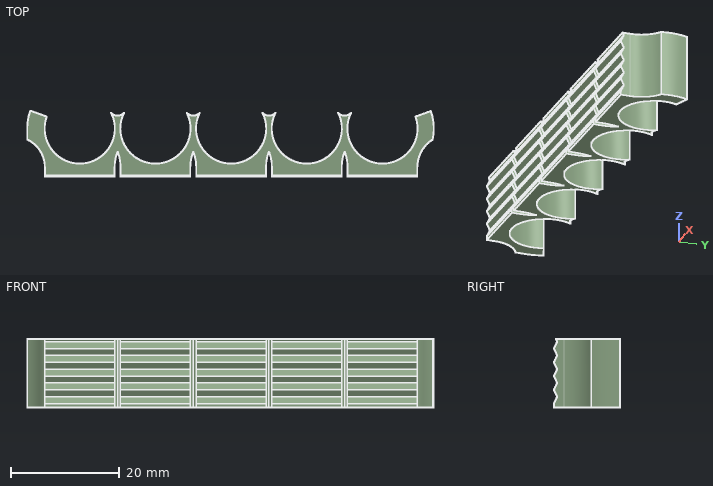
import cadquery as cq
import math

length = 75.05
height = 12.7

clamp_count = 5
pitch = 13.95
bore_radius = 6.45
bore_y = 8.9
row_offset = 0.11

jaw_angle = 20

flank_y = 1.8
scoop_top_y = 6.9
slot_top_y = 4.65

tip_angle = 27
tip_sag = 0.5

tooth_count = 5
tooth_pitch = height / tooth_count
tooth_depth = 0.6
first_crest_z = 0.75

row_half = pitch * (clamp_count - 1) / 2
bore_positions = [row_offset - row_half + i * pitch for i in range(clamp_count)]
first_bore_x = bore_positions[0]
last_bore_x = bore_positions[-1]
half_wall = pitch / 2 - bore_radius


def polar(center_x, radius, degrees):
    """Point on a circle around a bore axis."""
    angle = math.radians(degrees)
    return (center_x + radius * math.cos(angle), bore_y + radius * math.sin(angle))


def tangent_arc_middle(start, end):
    """Middle of the arc that leaves start along Y and ends at end."""
    run = end[0] - start[0]
    rise = end[1] - start[1]
    radius = (run**2 + rise**2) / (2 * abs(run))
    side = math.copysign(1, run)
    half_sweep = math.asin(rise / radius) / 2
    return (
        start[0] + side * radius * (1 - math.cos(half_sweep)),
        start[1] + radius * math.sin(half_sweep),
    )


def start_left_end():
    """Outline from the front left corner up to the inner edge of the left jaw."""
    jaw_radius = length / 2 + first_bore_x
    flank_start = (first_bore_x - bore_radius, flank_y)
    scoop_end = (-length / 2, scoop_top_y)
    return (
        cq.Workplane("XY")
        .moveTo(flank_start[0], 0)
        .lineTo(*flank_start)
        .threePointArc(tangent_arc_middle(flank_start, scoop_end), scoop_end)
        .lineTo(-length / 2, bore_y)
        .threePointArc(
            polar(first_bore_x, jaw_radius, 180 - jaw_angle / 2),
            polar(first_bore_x, jaw_radius, 180 - jaw_angle),
        )
        .lineTo(*polar(first_bore_x, bore_radius, 180 - jaw_angle))
    )


def add_bore_and_wall_tip(outline, bore_x):
    """One bore and the concave wall top to its right, with a sharp tip on each side."""
    left_tip = polar(bore_x, bore_radius, tip_angle)
    right_tip = polar(bore_x + pitch, bore_radius, 180 - tip_angle)
    tip_middle = (bore_x + pitch / 2, left_tip[1] - tip_sag)
    return (
        outline.threePointArc((bore_x, bore_y - bore_radius), left_tip)
        .threePointArc(tip_middle, right_tip)
    )


def add_right_end(outline):
    """Last bore, right jaw rounded down to its scoop, and the flank to the front."""
    jaw_radius = length / 2 - last_bore_x
    flank_start = (last_bore_x + bore_radius, flank_y)
    scoop_angle = math.degrees(math.asin((scoop_top_y - bore_y) / jaw_radius))
    scoop_end = polar(last_bore_x, jaw_radius, scoop_angle)
    return (
        outline.threePointArc(
            (last_bore_x, bore_y - bore_radius),
            polar(last_bore_x, bore_radius, jaw_angle),
        )
        .lineTo(*polar(last_bore_x, jaw_radius, jaw_angle))
        .threePointArc((length / 2, bore_y), scoop_end)
        .threePointArc(tangent_arc_middle(flank_start, scoop_end), flank_start)
        .lineTo(flank_start[0], 0)
    )


def make_body():
    """Clip profile, traced clockwise from its front left corner and extruded."""
    outline = start_left_end()
    for bore_x in bore_positions[:-1]:
        outline = add_bore_and_wall_tip(outline, bore_x)
    outline = add_right_end(outline)
    return outline.close().extrude(height)


def make_slot(wall_x):
    """Pointed slot that splits the front below one wall."""
    peak = (wall_x, slot_top_y)
    left = (wall_x - half_wall, flank_y)
    right = (wall_x + half_wall, flank_y)
    return (
        cq.Workplane("XY")
        .moveTo(left[0], 0)
        .lineTo(*left)
        .threePointArc(tangent_arc_middle(left, peak), peak)
        .threePointArc(tangent_arc_middle(right, peak), right)
        .lineTo(right[0], 0)
        .close()
        .extrude(height)
    )


def make_groove(crest_z):
    """V-groove along X, starting at the tooth crest at crest_z."""
    return (
        cq.Workplane("YZ")
        .moveTo(0, crest_z)
        .lineTo(tooth_depth, crest_z + tooth_pitch / 2)
        .lineTo(0, crest_z + tooth_pitch)
        .close()
        .extrude(length / 2, both=True)
    )


result = make_body()

for bore_x in bore_positions[:-1]:
    result = result.cut(make_slot(bore_x + pitch / 2))

for i in range(tooth_count):
    result = result.cut(make_groove(first_crest_z + i * tooth_pitch))